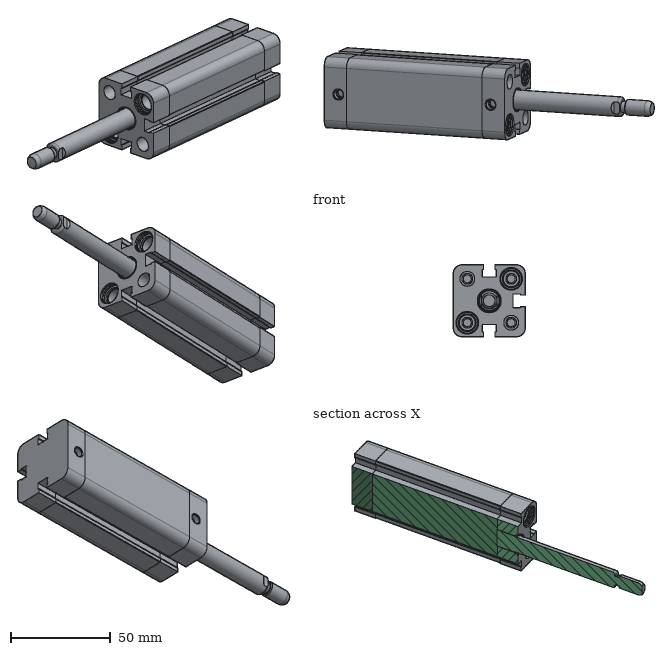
import cadquery as cq

TOTAL_LENGTH = 169.6
WIDTH = 36.3
CORNER_RADIUS = 4.5
FRONT_CAP_LENGTH = 12.2
REAR_CAP_LENGTH = 12.0
BARREL_LENGTH = 73.0
HOUSING_LENGTH = FRONT_CAP_LENGTH + BARREL_LENGTH + REAR_CAP_LENGTH

SLOT_ANGLES = (0, 90, 180)
SLOT_DEPTH = 6.1
SLOT_WIDTH = 6.8
SLOT_NECK_HEIGHT = 2.5
CAP_NECK_WIDTH = 5.8
BARREL_NECK_WIDTH = 6.1
BARREL_MOUTH_FLARE = 0.25

HOLE_OFFSET = 11.0
SCREW_SEAT_DIAMETER = 5.5
SCREW_SOCKET_DIAMETER = 4.0
SCREW_SEAT_DEPTH = 0.5
SCREW_SOCKET_DEPTH = 1.0
HOLE_DEPTH = 10.0
PLAIN_HOLE_DIAMETER = 7.5
THREAD_MAJOR_DIAMETER = 11.4
THREAD_MINOR_DIAMETER = 10.5
THREAD_PITCH = 1.0
THREAD_TURNS = 3
STEP_DIAMETER = 9.0
STEP_FLOOR = 4.0
INNER_BORE_DIAMETER = 8.0

PORT_FROM_END = 7.6
PORT_MOUTH_DIAMETER = 5.8
PORT_DIAMETER = 4.0
PORT_THREAD_DIAMETER = 5.0
PORT_THREAD_DEPTH = 3.4
PORT_DEPTH = 5.1

ROD_DIAMETER = 10.0
ROD_REACH = TOTAL_LENGTH - HOUSING_LENGTH
SHOULDER_FROM_TIP = 16.0
SHOULDER_FILLET = 1.2
NECK_DIAMETER = 5.8
STUD_DIAMETER = 8.0
STUD_LENGTH = 13.5
STUD_CHAMFER = 0.5
TIP_DIAMETER = 6.0
TIP_ROUND_LENGTH = 2.7
FLAT_WIDTH = 8.0
FLAT_LENGTH = 3.2

WIPER_MOUTH_DIAMETER = 12.0
WIPER_DIAMETER = 11.0
WIPER_MOUTH_DEPTH = 0.5
WIPER_DEPTH = 2.0


def revolve_about_y(half_profile):
    """Turn (radius, y) points, closed along the axis, into a solid around the Y axis."""
    points = [(0, half_profile[0][1])] + half_profile + [(0, half_profile[-1][1])]
    return cq.Workplane("XY").polyline(points).close().revolve(360, (0, 0, 0), (0, 1, 0))


def block(start, length):
    """Square bar with rounded long edges, from Y = start towards +Y."""
    bar = cq.Workplane("XY").box(WIDTH, length, WIDTH).edges("|Y").fillet(CORNER_RADIUS)
    return bar.translate((0, start + length / 2, 0))


def cut_slots(body, neck_width, flare=0):
    """Cut the T-slots through the body; a flare widens each edge of the slot mouth at 45 degrees."""
    top = WIDTH / 2
    neck = neck_width / 2
    right_side = [
        (neck, top - flare),
        (neck, top - SLOT_NECK_HEIGHT),
        (SLOT_WIDTH / 2, top - SLOT_NECK_HEIGHT),
        (SLOT_WIDTH / 2, top - SLOT_DEPTH),
    ]
    if flare > 0:
        right_side.insert(0, (neck + flare, top))
    left_side = [(-x, z) for x, z in reversed(right_side)]
    slot = cq.Workplane("XZ").polyline(right_side + left_side).close().extrude(-HOUSING_LENGTH)
    for angle in SLOT_ANGLES:
        body = body.cut(slot.rotate((0, 0, 0), (0, 1, 0), angle))
    return body


def screw_recess():
    """Stepped recess in the floor of every corner hole, as (radius, y) points."""
    seat_floor = HOLE_DEPTH + SCREW_SEAT_DEPTH
    return [
        (SCREW_SEAT_DIAMETER / 2, HOLE_DEPTH),
        (SCREW_SEAT_DIAMETER / 2, seat_floor),
        (SCREW_SOCKET_DIAMETER / 2, seat_floor),
        (SCREW_SOCKET_DIAMETER / 2, seat_floor + SCREW_SOCKET_DEPTH),
    ]


def plain_hole():
    radius = PLAIN_HOLE_DIAMETER / 2
    return revolve_about_y([(radius, 0), (radius, HOLE_DEPTH)] + screw_recess())


def threaded_hole():
    """Hole with V-shaped thread rings from its mouth inwards, then a stepped floor."""
    minor = THREAD_MINOR_DIAMETER / 2
    major = THREAD_MAJOR_DIAMETER / 2
    profile = [(major, 0)]
    for turn in range(THREAD_TURNS):
        crest = (turn + 0.5) * THREAD_PITCH
        profile.append((minor, crest))
        profile.append((major, crest + THREAD_PITCH / 2))
    profile += [
        (STEP_DIAMETER / 2, THREAD_TURNS * THREAD_PITCH),
        (STEP_DIAMETER / 2, STEP_FLOOR),
        (INNER_BORE_DIAMETER / 2, STEP_FLOOR),
        (INNER_BORE_DIAMETER / 2, HOLE_DEPTH),
    ]
    return revolve_about_y(profile + screw_recess())


def rod_bore():
    """Shallow recess, a deeper wiper groove around the rod, then the guide bore that fits it."""
    return revolve_about_y([
        (WIPER_MOUTH_DIAMETER / 2, 0),
        (WIPER_MOUTH_DIAMETER / 2, WIPER_MOUTH_DEPTH),
        (WIPER_DIAMETER / 2, WIPER_MOUTH_DEPTH),
        (WIPER_DIAMETER / 2, WIPER_DEPTH),
        (ROD_DIAMETER / 2, WIPER_DEPTH),
        (ROD_DIAMETER / 2, FRONT_CAP_LENGTH),
    ])


def air_port(y):
    """Countersunk and stepped blind port, drilled into the -X side."""
    countersink = (PORT_MOUTH_DIAMETER - PORT_THREAD_DIAMETER) / 2
    port = revolve_about_y([
        (PORT_MOUTH_DIAMETER / 2, 0),
        (PORT_THREAD_DIAMETER / 2, countersink),
        (PORT_THREAD_DIAMETER / 2, PORT_THREAD_DEPTH),
        (PORT_DIAMETER / 2, PORT_THREAD_DEPTH),
        (PORT_DIAMETER / 2, PORT_DEPTH),
    ])
    return port.rotate((0, 0, 0), (0, 0, 1), -90).translate((-WIDTH / 2, y, 0))


def make_front_cap():
    cap = cut_slots(block(0, FRONT_CAP_LENGTH), CAP_NECK_WIDTH)
    cap = cap.cut(rod_bore()).cut(air_port(PORT_FROM_END))
    for side in (-1, 1):
        cap = cap.cut(plain_hole().translate((side * HOLE_OFFSET, 0, -side * HOLE_OFFSET)))
        cap = cap.cut(threaded_hole().translate((side * HOLE_OFFSET, 0, side * HOLE_OFFSET)))
    return cap


def make_barrel():
    return cut_slots(block(FRONT_CAP_LENGTH, BARREL_LENGTH), BARREL_NECK_WIDTH, BARREL_MOUTH_FLARE)


def make_rear_cap():
    cap = block(HOUSING_LENGTH - REAR_CAP_LENGTH, REAR_CAP_LENGTH)
    cap = cut_slots(cap, CAP_NECK_WIDTH)
    return cap.cut(air_port(HOUSING_LENGTH - PORT_FROM_END))


def make_rod():
    """Rod from its threaded tip to the barrel's front face, with two wrench flats."""
    tip = -ROD_REACH
    shoulder = tip + SHOULDER_FROM_TIP
    stud_end = tip + STUD_LENGTH
    tip_drop = (STUD_DIAMETER - TIP_DIAMETER) / 2
    tip_radius = (TIP_ROUND_LENGTH**2 + tip_drop**2) / (2 * tip_drop)
    rod = (
        cq.Workplane("XY")
        .moveTo(0, tip)
        .lineTo(TIP_DIAMETER / 2, tip)
        .radiusArc((STUD_DIAMETER / 2, tip + TIP_ROUND_LENGTH), -tip_radius)
        .lineTo(STUD_DIAMETER / 2, stud_end - STUD_CHAMFER)
        .lineTo(STUD_DIAMETER / 2 - STUD_CHAMFER, stud_end)
        .lineTo(NECK_DIAMETER / 2, stud_end)
        .lineTo(NECK_DIAMETER / 2, shoulder)
        .lineTo(ROD_DIAMETER / 2 - SHOULDER_FILLET, shoulder)
        .radiusArc((ROD_DIAMETER / 2, shoulder + SHOULDER_FILLET), -SHOULDER_FILLET)
        .lineTo(ROD_DIAMETER / 2, FRONT_CAP_LENGTH)
        .lineTo(0, FRONT_CAP_LENGTH)
        .close()
        .revolve(360, (0, 0, 0), (0, 1, 0))
    )
    inner = FLAT_WIDTH / 2
    outer = ROD_DIAMETER / 2
    flat_end = shoulder + FLAT_LENGTH
    flat_cutter = (
        cq.Workplane("XY")
        .moveTo(inner, shoulder)
        .lineTo(inner, flat_end)
        .lineTo(outer, flat_end + outer - inner)
        .lineTo(outer, shoulder)
        .close()
        .extrude(outer, both=True)
    )
    return rod.cut(flat_cutter).cut(flat_cutter.mirror("YZ"))


front_cap = make_front_cap()
barrel = make_barrel()
rear_cap = make_rear_cap()
rod = make_rod()

result = cq.Compound.makeCompound([front_cap.val(), barrel.val(), rear_cap.val(), rod.val()])